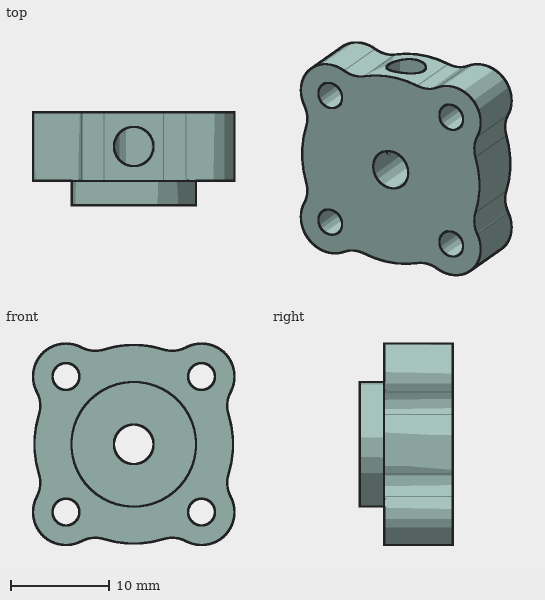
import cadquery as cq
import math

width = 20.57
plate_thickness = 7.01
boss_height = 2.5

disc_radius = 10.15
lobe_radius = 3.37
blend_radius = 3.0
lobe_offset = width / 2 - lobe_radius

boss_diameter = 12.71
bore_diameter = 4.01
mount_hole_diameter = 2.72
set_screw_diameter = 4.01


def polar(radius, angle):
    return (radius * math.cos(angle), radius * math.sin(angle))


def toward(start, end, distance):
    """Point at the given distance from start on the line to end."""
    ratio = distance / math.dist(start, end)
    return (start[0] + ratio * (end[0] - start[0]), start[1] + ratio * (end[1] - start[1]))


def add_corner(outline, lobe_angle):
    """Append blend, lobe, blend and the disc arc that follows, counter-clockwise."""
    lobe_distance = lobe_offset * math.sqrt(2)
    blend_distance = disc_radius + blend_radius
    lobe_to_blend = lobe_radius + blend_radius

    spread = math.acos(
        (lobe_distance**2 + blend_distance**2 - lobe_to_blend**2)
        / (2 * lobe_distance * blend_distance)
    )
    lobe = polar(lobe_distance, lobe_angle)
    blend_in = polar(blend_distance, lobe_angle - spread)
    blend_out = polar(blend_distance, lobe_angle + spread)

    def blend_middle(center):
        tangent_on_disc = toward(center, (0, 0), blend_radius)
        tangent_on_lobe = toward(center, lobe, blend_radius)
        chord_middle = (
            (tangent_on_disc[0] + tangent_on_lobe[0]) / 2,
            (tangent_on_disc[1] + tangent_on_lobe[1]) / 2,
        )
        return toward(center, chord_middle, blend_radius)

    disc_start = polar(disc_radius, lobe_angle - spread)
    disc_end = polar(disc_radius, lobe_angle + spread)
    next_disc_end = polar(disc_radius, lobe_angle + math.pi / 2 - spread)
    if outline is None:
        outline = cq.Workplane("XZ").moveTo(*disc_start)
    outline = outline.threePointArc(blend_middle(blend_in), toward(lobe, blend_in, lobe_radius))
    outline = outline.threePointArc(
        polar(lobe_distance + lobe_radius, lobe_angle), toward(lobe, blend_out, lobe_radius)
    )
    outline = outline.threePointArc(blend_middle(blend_out), disc_end)
    return outline.threePointArc(polar(disc_radius, lobe_angle + math.pi / 4), next_disc_end)


outline = None
for corner in range(4):
    outline = add_corner(outline, math.pi / 4 + corner * math.pi / 2)
plate = outline.close().extrude(-plate_thickness)

boss = cq.Workplane("XZ").circle(boss_diameter / 2).extrude(boss_height)
body = plate.union(boss)

body = body.faces("<Y").workplane(origin=(0, 0, 0)).hole(bore_diameter)
mount_holes = (
    cq.Workplane("XZ")
    .rect(2 * lobe_offset, 2 * lobe_offset, forConstruction=True)
    .vertices()
    .circle(mount_hole_diameter / 2)
    .extrude(-plate_thickness)
)

set_screw_hole = (
    cq.Workplane("XY")
    .center(0, plate_thickness / 2)
    .circle(set_screw_diameter / 2)
    .extrude(width / 2)
)

result = body.cut(mount_holes).cut(set_screw_hole)